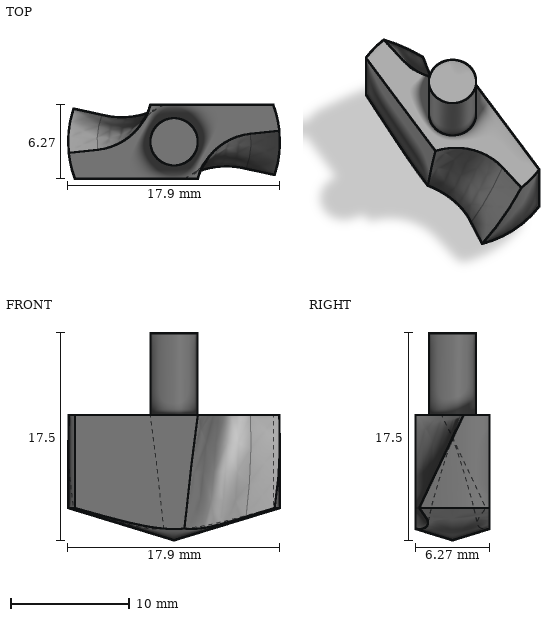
import math

import cadquery as cq

HEAD_DIAMETER = 17.9
HEAD_THICKNESS = 6.27
OVERALL_HEIGHT = 17.5
SHANK_DIAMETER = 4.0
SHANK_LENGTH = 6.9
POINT_SLOPE = 17.0

LIP_ANGLE = 6.0
LIP_START_RADIUS = 6.5
FLUTE_ARC_RADIUS = 5.17
FLUTE_ARC_SPAN = 84.0
TWIST_RATE = 3.09
FLUTE_REACH = HEAD_DIAMETER
FLUTE_SWEEP = 66.0
FLUTE_COUNT = 2

HEAD_RADIUS = HEAD_DIAMETER / 2
HEAD_HEIGHT = OVERALL_HEIGHT - SHANK_LENGTH
POINT_HEIGHT = HEAD_RADIUS * math.tan(math.radians(POINT_SLOPE))


def polar(radius, degrees):
    """Point in the XY plane at a radius and an angle from +X."""
    angle = math.radians(degrees)
    return cq.Vector(radius * math.cos(angle), radius * math.sin(angle))


def make_head():
    """Round head with a conical point on the origin, cut to two flats."""
    blank = (
        cq.Workplane("XZ")
        .polyline([(0, 0), (HEAD_RADIUS, POINT_HEIGHT), (HEAD_RADIUS, HEAD_HEIGHT), (0, HEAD_HEIGHT)])
        .close()
        .revolve(360, (0, 0), (0, 1))
    )
    slab = cq.Workplane("XY").box(HEAD_DIAMETER, HEAD_THICKNESS, HEAD_HEIGHT, centered=(True, True, False))
    return blank.intersect(slab)


def make_flute_cutter():
    """Twisted flute: a radial wall that runs tangentially into a concave arc."""
    twist = TWIST_RATE * HEAD_HEIGHT
    lip = LIP_ANGLE - twist
    tangent_normal = lip + 90
    arc_start = polar(LIP_START_RADIUS, lip)
    arc_center = arc_start - polar(FLUTE_ARC_RADIUS, tangent_normal)
    arc_middle = arc_center + polar(FLUTE_ARC_RADIUS, tangent_normal + FLUTE_ARC_SPAN / 2)
    arc_end = arc_center + polar(FLUTE_ARC_RADIUS, tangent_normal + FLUTE_ARC_SPAN)
    wall_end = polar(FLUTE_REACH, lip)
    open_corner = polar(FLUTE_REACH, lip - FLUTE_SWEEP)
    return (
        cq.Workplane("XY")
        .moveTo(wall_end.x, wall_end.y)
        .lineTo(arc_start.x, arc_start.y)
        .threePointArc((arc_middle.x, arc_middle.y), (arc_end.x, arc_end.y))
        .lineTo(open_corner.x, open_corner.y)
        .close()
        .twistExtrude(HEAD_HEIGHT, twist)
    )


def make_shank():
    """Plain round shank standing on the head."""
    return cq.Workplane("XY").workplane(offset=HEAD_HEIGHT).circle(SHANK_DIAMETER / 2).extrude(SHANK_LENGTH)


head = make_head()
flute_cutter = make_flute_cutter()
for index in range(FLUTE_COUNT):
    turn = 360 * index / FLUTE_COUNT
    head = head.cut(flute_cutter.rotate((0, 0, 0), (0, 0, 1), turn))

result = head.union(make_shank())